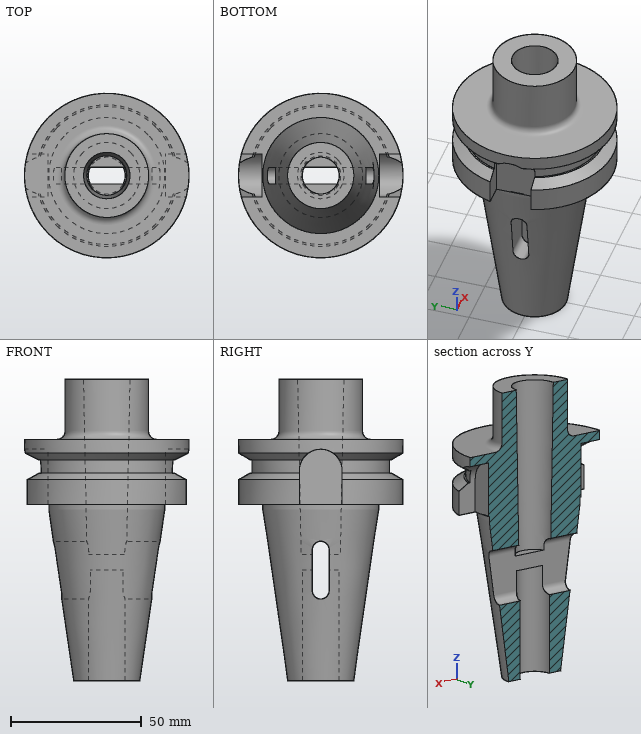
import cadquery as cq
import math

total_height = 115.4
taper_length = 65.4
shoulder_length = 2.0
flange_thickness = 25.0
flange_bottom = taper_length + shoulder_length
flange_top = flange_bottom + flange_thickness

taper_ratio = 7 / 24
gauge_radius = 44.4 / 2
taper_end_radius = gauge_radius - taper_length * taper_ratio / 2

flange_radius = 63.0 / 2
groove_root_radius = 52.9 / 2
lower_rim_height = 9.6
groove_root_width = 5.1
groove_flank_height = 2.5
groove_flank_angle = 60

nose_radius = 32.1 / 2
nose_fillet = 3.0

keyway_width = 16.4
keyway_height = 21.2
keyway_floor = 22.5

socket_mouth_radius = 17.8 / 2
socket_end_radius = 15.1 / 2
socket_depth = 67.0
tang_slot_width = 6.3
tang_slot_length = 22.0
tang_slot_center = 42.4
drawbar_hole_diameter = 14.1


def make_body():
    """Solid of revolution: taper, shoulder, grooved flange, filleted nose."""
    flank_start = flange_bottom + lower_rim_height
    root_start = flank_start + groove_flank_height
    root_end = root_start + groove_root_width
    flank_end = root_end + groove_flank_height
    ledge_radius = flange_radius - groove_flank_height * math.tan(math.radians(groove_flank_angle))
    fillet_center_radius = nose_radius + nose_fillet
    fillet_center_height = flange_top + nose_fillet
    fillet_middle = (
        fillet_center_radius - nose_fillet * math.sqrt(0.5),
        fillet_center_height - nose_fillet * math.sqrt(0.5),
    )
    return (
        cq.Workplane("XZ")
        .lineTo(taper_end_radius, 0)
        .lineTo(gauge_radius, taper_length)
        .lineTo(gauge_radius, flange_bottom)
        .lineTo(flange_radius, flange_bottom)
        .lineTo(flange_radius, flank_start)
        .lineTo(ledge_radius, root_start)
        .lineTo(groove_root_radius, root_start)
        .lineTo(groove_root_radius, root_end)
        .lineTo(ledge_radius, root_end)
        .lineTo(flange_radius, flank_end)
        .lineTo(flange_radius, flange_top)
        .lineTo(fillet_center_radius, flange_top)
        .threePointArc(fillet_middle, (nose_radius, fillet_center_height))
        .lineTo(nose_radius, total_height)
        .lineTo(0, total_height)
        .close()
        .revolve(360, (0, 0, 0), (0, 1, 0))
    )


def make_keyway(side):
    """Arched cutter reaching from the keyway floor past the rim; side is -1 or +1."""
    half_width = keyway_width / 2
    arch_start = flange_bottom + keyway_height - half_width
    return (
        cq.Workplane("YZ", origin=(side * keyway_floor, 0, 0))
        .moveTo(-half_width, flange_bottom)
        .lineTo(half_width, flange_bottom)
        .lineTo(half_width, arch_start)
        .threePointArc((0, flange_bottom + keyway_height), (-half_width, arch_start))
        .close()
        .extrude(side * (flange_radius - keyway_floor))
    )


def make_socket():
    """Conical socket opening at the nose face."""
    socket_floor = total_height - socket_depth
    return (
        cq.Workplane("XZ")
        .moveTo(0, socket_floor)
        .lineTo(socket_end_radius, socket_floor)
        .lineTo(socket_mouth_radius, total_height)
        .lineTo(0, total_height)
        .close()
        .revolve(360, (0, 0, 0), (0, 1, 0))
    )


def make_tang_slot():
    """Round-ended slot crossing the whole taper along X."""
    return (
        cq.Workplane("YZ")
        .center(0, tang_slot_center)
        .slot2D(tang_slot_length, tang_slot_width, 90)
        .extrude(gauge_radius, both=True)
    )


def make_drawbar_hole():
    """Plain hole from the small end up into the tang slot."""
    return cq.Workplane("XY").circle(drawbar_hole_diameter / 2).extrude(tang_slot_center)


result = make_body()
for keyway_side in (-1, 1):
    result = result.cut(make_keyway(keyway_side))
result = result.cut(make_socket()).cut(make_tang_slot()).cut(make_drawbar_hole())